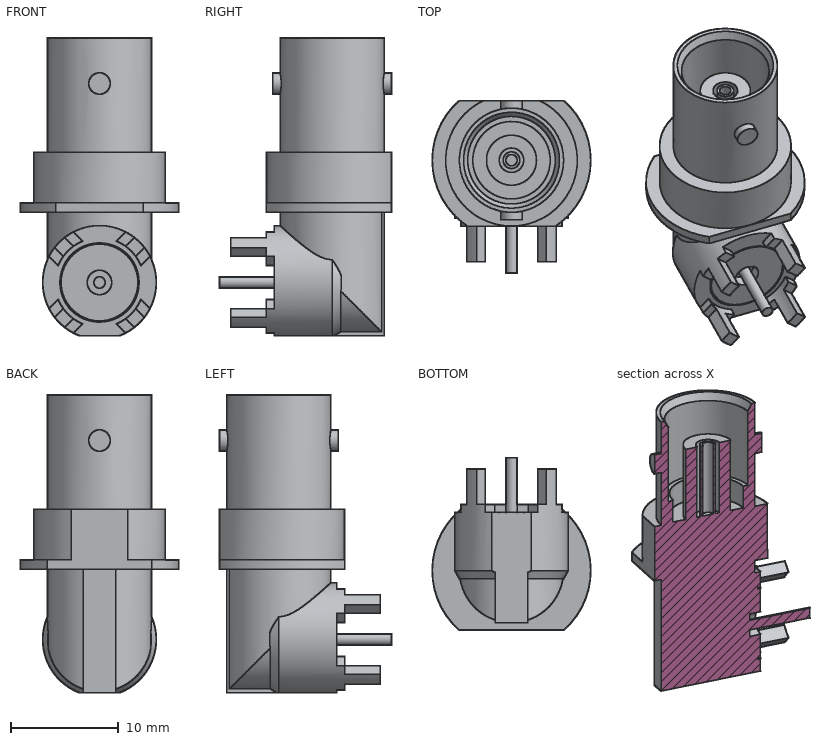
import cadquery as cq
import math

total_height = 27.65
body_radius = 4.85

collar_radius = 6.1
collar_top = 17.05
flange_diameter = 14.73
flange_radius = flange_diameter / 2
flange_top = 12.33
flange_bottom = 11.45
back_flat = 5.53
front_flat = 6.14

peg_radius = 1.0
peg_reach = 5.53
peg_height = 23.4

mouth_radius = 4.45
mouth_depth = 0.72
bore_radius = 4.05
bore_floor = 19.35
inner_bore_radius = 3.6
socket_floor = 17.15
post_radius = 2.32
post_top = 24.32
contact_hole_radius = 1.13
contact_radius = 0.77
contact_bore_radius = 0.53

elbow_height = 4.95
boss_radius = 5.28
boss_chamfer_length = 0.83
boss_chamfer = 0.47
boss_face = 5.4
rib_half_width = 1.52

gap_outer_radius = 3.68
gap_inner_radius = 3.57
gap_depth = 0.28
pin_hole_depth = 1.1
pin_radius = 0.53
pin_end = 10.48
foot_inner_radius = 4.15
pad_half_width = 1.6
pad_end = front_flat
leg_half_width = 0.65
leg_end = 9.43
foot_angles = (45, 135, 225, 315)


def upright(radius, bottom, top):
    """Cylinder on the barrel axis."""
    return cq.Workplane("XY").workplane(offset=bottom).circle(radius).extrude(top - bottom)


def forward(radius, start, end):
    """Cylinder on the elbow axis; start and end are distances toward -Y."""
    plane = cq.Workplane("XZ", origin=(0, -start, elbow_height))
    return plane.circle(radius).extrude(end - start)


def make_collar():
    collar = upright(collar_radius, flange_bottom, collar_top)
    flange = upright(flange_radius, flange_bottom, flange_top)
    flats = cq.Workplane("XY").box(
        2 * flange_radius, back_flat + front_flat, total_height, centered=(True, False, False)
    ).translate((0, -front_flat, 0))
    return collar.union(flange).intersect(flats)


def ribbed_tube(plane, back_depth, length):
    """Round bar with a flat-sided rib along local +Y that squares off its back."""
    shoulder = math.sqrt(body_radius**2 - rib_half_width**2)
    return (
        plane.moveTo(rib_half_width, shoulder)
        .threePointArc((0, -body_radius), (-rib_half_width, shoulder))
        .lineTo(-rib_half_width, back_depth)
        .lineTo(rib_half_width, back_depth)
        .close()
        .extrude(length)
    )


def make_elbow():
    reach = total_height
    above_mitre = (
        cq.Workplane("YZ")
        .polyline([(-reach, elbow_height + reach), (reach, elbow_height - reach), (reach, elbow_height + reach)])
        .close()
        .extrude(reach, both=True)
    )
    upright_tube = ribbed_tube(cq.Workplane("XY"), body_radius, flange_bottom)
    along_boss = cq.Plane(origin=(0, body_radius, elbow_height), xDir=(-1, 0, 0), normal=(0, -1, 0))
    horizontal_tube = ribbed_tube(cq.Workplane(along_boss), elbow_height, body_radius)

    boss = forward(boss_radius, -boss_chamfer_length, boss_face)
    boss = boss.faces(">Y").chamfer(boss_chamfer_length, boss_chamfer)
    above_base = cq.Workplane("XY").box(
        2 * boss_radius, 2 * boss_face, total_height, centered=(True, True, False)
    )
    bend = upright_tube.intersect(above_mitre).union(horizontal_tube.cut(above_mitre))
    return bend.union(boss.intersect(above_base))


def make_pegs():
    middle = cq.Workplane("XZ", origin=(0, 0, peg_height))
    return middle.circle(peg_radius).extrude(peg_reach, both=True)


def make_socket():
    mouth_floor = total_height - mouth_depth
    return (
        cq.Workplane("XZ")
        .polyline([
            (0, socket_floor),
            (inner_bore_radius, socket_floor),
            (inner_bore_radius, bore_floor),
            (bore_radius, bore_floor),
            (bore_radius, mouth_floor),
            (mouth_radius, total_height),
            (0, total_height),
        ])
        .close()
        .revolve(360, (0, 0), (0, 1))
    )


def make_socket_contact():
    post = upright(post_radius, socket_floor, post_top)
    hole = upright(contact_hole_radius, socket_floor, post_top)
    contact = upright(contact_radius, socket_floor, post_top)
    contact_bore = upright(contact_bore_radius, socket_floor, post_top)
    return post.cut(hole).union(contact.cut(contact_bore))


def make_foot(angle):
    """Wide pad with a narrower leg, both trimmed to the rim of the boss."""
    ring = forward(boss_radius, boss_face, leg_end).cut(forward(foot_inner_radius, boss_face, leg_end))

    def bar(half_width, end):
        plane = cq.Workplane("XZ", origin=(0, -boss_face, elbow_height)).transformed(rotate=(0, 0, angle))
        return plane.center(boss_radius / 2, 0).rect(boss_radius, 2 * half_width).extrude(end - boss_face)

    return bar(pad_half_width, pad_end).union(bar(leg_half_width, leg_end)).intersect(ring)


def make_board_face_recesses():
    """Ring gap around the insulator and the clearance hole around the pin."""
    gap_floor = boss_face - gap_depth
    gap = forward(gap_outer_radius, gap_floor, boss_face).cut(forward(gap_inner_radius, gap_floor, boss_face))
    return gap.union(forward(contact_hole_radius, boss_face - pin_hole_depth, boss_face))


def make_pin():
    return forward(pin_radius, boss_face - pin_hole_depth, pin_end)


barrel = upright(body_radius, collar_top, total_height)
result = make_elbow().union(make_collar()).union(barrel).union(make_pegs())
result = result.cut(make_socket()).union(make_socket_contact())
result = result.cut(make_board_face_recesses()).union(make_pin())
for foot_angle in foot_angles:
    result = result.union(make_foot(foot_angle))